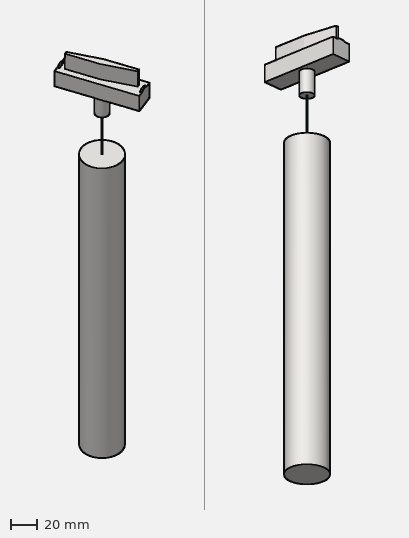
import cadquery as cq

total_height = 369.8
blade_height = 14.8
head_height = 14.8
boss_height = 20.0
weight_height = 280.3
head_top = total_height - blade_height
head_bottom = head_top - head_height
boss_bottom = head_bottom - boss_height

weight_diameter = 35.0
boss_diameter = 12.0
wire_diameter = 1.0

head_length = 71.5
head_width = 18.0

blade_length = 59.0
blade_thickness = 6.5
blade_end_thickness = 2.5

hump_width = 9.0
hump_height = 1.0
hump_length = 2.0


def cylinder_between(diameter, bottom, top):
    """Vertical cylinder on the central axis."""
    return cq.Workplane("XY").workplane(offset=bottom).circle(diameter / 2).extrude(top - bottom)


def make_head():
    return (
        cq.Workplane("XY")
        .workplane(offset=head_bottom)
        .rect(head_length, head_width)
        .extrude(head_height)
    )


def make_blade():
    half_length = blade_length / 2
    half_thickness = blade_thickness / 2
    end_inset = half_thickness - blade_end_thickness
    outline = [
        (-half_length, -end_inset),
        (0, half_thickness),
        (half_length, half_thickness),
        (half_length, end_inset),
        (0, -half_thickness),
        (-half_length, -half_thickness),
    ]
    return cq.Workplane("XY").workplane(offset=head_top).polyline(outline).close().extrude(blade_height)


def make_hump(start_x):
    """Shallow arched hump running along X from start_x."""
    half_width = hump_width / 2
    return (
        cq.Workplane("YZ", origin=(start_x, 0, head_top))
        .moveTo(-half_width, 0)
        .threePointArc((0, hump_height), (half_width, 0))
        .close()
        .extrude(hump_length)
    )


weight = cylinder_between(weight_diameter, 0, weight_height)
wire = cylinder_between(wire_diameter, weight_height, boss_bottom)
boss = cylinder_between(boss_diameter, boss_bottom, head_bottom)

result = weight.union(wire).union(boss).union(make_head()).union(make_blade())
for hump_start in (-head_length / 2, head_length / 2 - hump_length):
    result = result.union(make_hump(hump_start))